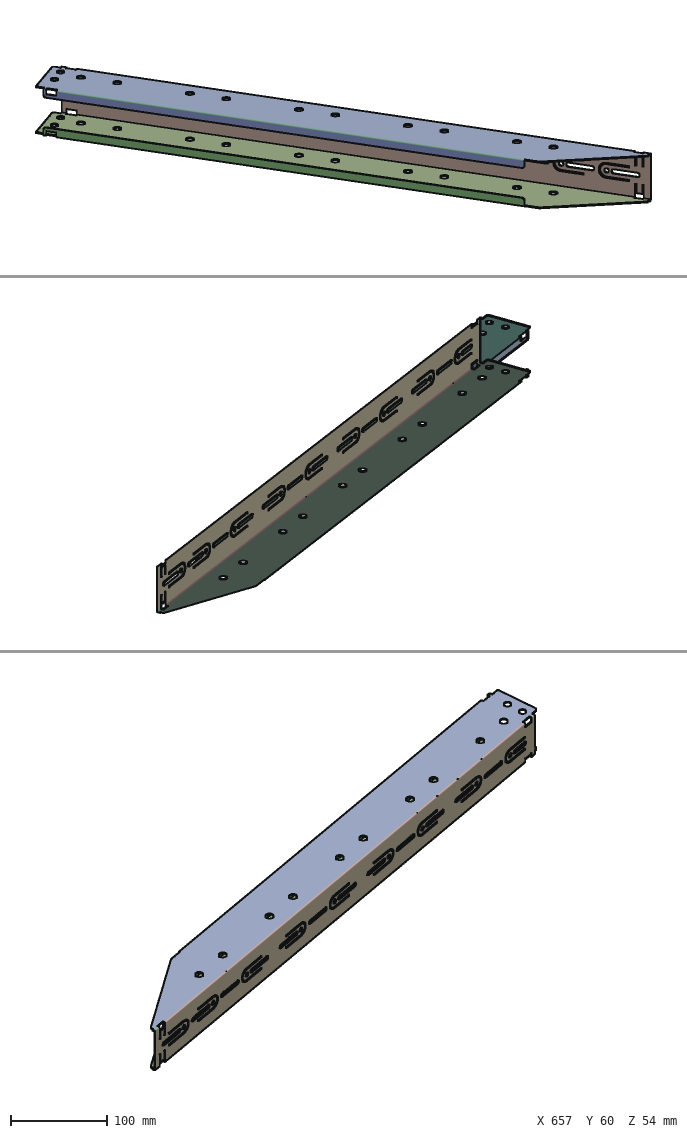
import cadquery as cq

LENGTH = 657.0
DEPTH = 60.0
HEIGHT = 54.0
SHEET = 1.5
BEND_RADIUS = SHEET
MID_HEIGHT = HEIGHT / 2

END_STEP = 9.0
FLANGE_INSET = 4.0
FLANGE_CORNER = 2.5
LIP_HEIGHT = 10.0
LIP_END = 539.0
LIP_CORNER = 3.0
TAPER_START = 554.5
TIP_WIDTH = 7.0
TIP_STEP = 1.0

HOLE_DIAMETER = 8.5
HOLE_PAIRS = 5
HOLE_ROW_SPAN = 479.5
HOLE_PAIR_PITCH = HOLE_ROW_SPAN / (HOLE_PAIRS - 1)
HOLE_PAIR_GAP = 40.0
FIRST_HOLE_X = 37.0
HOLE_Y = DEPTH - 20.0
END_HOLE_DIAMETER = 8.0
END_HOLE_X = 12.5
END_HOLE_YS = (26.0, 46.0)

GROUPS = 4
GROUP_PITCH = 150.0
FIRST_GROUP_X = 80.0
SLOT_WIDTH = 5.0
SLOT_LENGTH = 31.0
FIRST_SLOT_START = 24.0
KNOCKOUT_OFFSET = 29.0
OUTER_SLOT_OFFSET = 50.0
KNOCKOUT_HOLE_DIAMETER = 5.0
KNOCKOUT_RADIUS = 8.0
KNOCKOUT_LEG = 25.0
CUT_WIDTH = 1.5
EXTRA_KNOCKOUT_X = 608.5

LIP_WINDOW_START = 12.5
WEB_WINDOW_START = 14.5
WINDOW_LENGTH = 11.0
WINDOW_DEPTH_Y = 3.0
WINDOW_DEPTH_Z = 6.0
TAB_X = 644.5
TAB_WIDTH = 8.0
TAB_CUT_REACH = 16.5


def block(x_min, x_max, y_min, y_max, z_min, z_max):
    """Box given by its limits along each axis."""
    size = (x_max - x_min, y_max - y_min, z_max - z_min)
    return cq.Workplane("XY").box(*size, centered=False).translate((x_min, y_min, z_min))


def channel():
    """Lipped channel of constant section, with bends rounded outside and square inside."""
    outer = block(0, LENGTH, 0, DEPTH, 0, HEIGHT).edges("|X").fillet(BEND_RADIUS)
    inner = block(0, LENGTH, SHEET, DEPTH - SHEET, SHEET, HEIGHT - SHEET)
    mouth = block(0, LENGTH, 0, SHEET, LIP_HEIGHT, HEIGHT - LIP_HEIGHT)
    return outer.cut(inner).cut(mouth)


def flange_outline():
    """Plan shape kept: stepped at the start and tapered towards the web at the far end."""
    tip_y = DEPTH - TIP_WIDTH
    outline = (
        cq.Workplane("XY")
        .moveTo(0, FLANGE_INSET)
        .lineTo(END_STEP, FLANGE_INSET)
        .lineTo(END_STEP, 0)
        .lineTo(LIP_END, 0)
        .lineTo(LIP_END, SHEET)
        .lineTo(TAPER_START, SHEET)
        .lineTo(LENGTH - TIP_STEP, tip_y)
        .lineTo(LENGTH - TIP_STEP, DEPTH - FLANGE_INSET)
        .lineTo(LENGTH, DEPTH - FLANGE_INSET)
        .lineTo(LENGTH, DEPTH)
        .lineTo(END_STEP, DEPTH)
        .lineTo(END_STEP, DEPTH - FLANGE_INSET)
        .lineTo(FLANGE_CORNER, DEPTH - FLANGE_INSET)
        .tangentArcPoint((0, DEPTH - FLANGE_INSET - FLANGE_CORNER), relative=False)
        .close()
    )
    return outline.extrude(HEIGHT)


def lip_corner_cuts():
    """Waste outside the rounded free corners of both lips."""
    waste = cq.Workplane("XY")
    for x, inward in ((END_STEP, 1), (LIP_END, -1)):
        for z, outward in ((LIP_HEIGHT, -1), (HEIGHT - LIP_HEIGHT, 1)):
            corner = (
                cq.Workplane("XZ", origin=(x, SHEET, z))
                .lineTo(inward * LIP_CORNER, 0)
                .radiusArc((0, outward * LIP_CORNER), inward * outward * LIP_CORNER)
                .close()
                .extrude(SHEET)
            )
            waste = waste.add(corner)
    return waste


def flange_holes():
    """Round holes through both flanges."""
    row = [
        (FIRST_HOLE_X + pair * HOLE_PAIR_PITCH + step * HOLE_PAIR_GAP, HOLE_Y)
        for pair in range(HOLE_PAIRS)
        for step in range(2)
    ]
    ends = [(END_HOLE_X, y) for y in END_HOLE_YS]
    row_holes = cq.Workplane("XY").pushPoints(row).circle(HOLE_DIAMETER / 2).extrude(HEIGHT)
    end_holes = cq.Workplane("XY").pushPoints(ends).circle(END_HOLE_DIAMETER / 2).extrude(HEIGHT)
    return row_holes.add(end_holes)


def web_plane(x):
    """Plane at mid height on the outer face of the web; extrusions run from it towards the mouth."""
    return cq.Workplane("XZ", origin=(x, DEPTH, MID_HEIGHT))


def slot(x, length=SLOT_LENGTH):
    """Lengthwise slot through the web, centred at x."""
    return web_plane(x).slot2D(length, SLOT_WIDTH).extrude(SHEET)


def knockout(x, side):
    """Hole at x and the U-shaped cut round it, whose legs run towards the given side (+1 or -1)."""
    outer_r = KNOCKOUT_RADIUS + CUT_WIDTH / 2
    inner_r = KNOCKOUT_RADIUS - CUT_WIDTH / 2
    leg = side * KNOCKOUT_LEG
    hole = web_plane(x).circle(KNOCKOUT_HOLE_DIAMETER / 2).extrude(SHEET)
    cut = (
        web_plane(x)
        .moveTo(leg, outer_r)
        .lineTo(0, outer_r)
        .threePointArc((-side * outer_r, 0), (0, -outer_r))
        .lineTo(leg, -outer_r)
        .lineTo(leg, -inner_r)
        .lineTo(0, -inner_r)
        .threePointArc((-side * inner_r, 0), (0, inner_r))
        .lineTo(leg, inner_r)
        .close()
        .extrude(SHEET)
    )
    return hole.add(cut)


def web_cuts():
    """Slots and knockouts along the web."""
    outer_from_hole = OUTER_SLOT_OFFSET - KNOCKOUT_OFFSET
    cuts = knockout(EXTRA_KNOCKOUT_X, 1)
    cuts = cuts.add(slot(EXTRA_KNOCKOUT_X + outer_from_hole))
    for group in range(GROUPS):
        middle = FIRST_GROUP_X + group * GROUP_PITCH
        cuts = cuts.add(slot(middle))
        for side in (-1, 1):
            cuts = cuts.add(knockout(middle + side * KNOCKOUT_OFFSET, side))
            start = middle + side * OUTER_SLOT_OFFSET - SLOT_LENGTH / 2
            end = start + SLOT_LENGTH
            start = max(start, FIRST_SLOT_START)
            cuts = cuts.add(slot((start + end) / 2, end - start))
    return cuts


def bend_windows():
    """Openings across the bends: at all four near the start, at the web only near the far end."""
    lip_xs = (LIP_WINDOW_START, LIP_WINDOW_START + WINDOW_LENGTH)
    web_xs = (WEB_WINDOW_START, WEB_WINDOW_START + WINDOW_LENGTH)
    tab_xs = (TAB_X - TAB_WIDTH / 2 - CUT_WIDTH / 2, TAB_X + TAB_WIDTH / 2 + CUT_WIDTH / 2)
    lip_ys = (0, WINDOW_DEPTH_Y)
    web_ys = (DEPTH - WINDOW_DEPTH_Y, DEPTH)
    cuts = cq.Workplane("XY")
    for zs in ((0, WINDOW_DEPTH_Z), (HEIGHT - WINDOW_DEPTH_Z, HEIGHT)):
        cuts = cuts.add(block(*lip_xs, *lip_ys, *zs))
        cuts = cuts.add(block(*web_xs, *web_ys, *zs))
        cuts = cuts.add(block(*tab_xs, *web_ys, *zs))
    return cuts


def tab_cuts():
    """Pairs of narrow cuts in the web, running on from the windows at the far end."""
    cuts = cq.Workplane("XY")
    for side in (-1, 1):
        x = TAB_X + side * TAB_WIDTH / 2
        for z_min in (0, HEIGHT - TAB_CUT_REACH):
            xs = (x - CUT_WIDTH / 2, x + CUT_WIDTH / 2)
            cuts = cuts.add(block(*xs, DEPTH - SHEET, DEPTH, z_min, z_min + TAB_CUT_REACH))
    return cuts


body = channel().intersect(flange_outline())
for cutters in (lip_corner_cuts(), flange_holes(), web_cuts(), bend_windows(), tab_cuts()):
    for cutter in cutters.vals():
        body = body.cut(cq.Workplane(cutter))
result = body